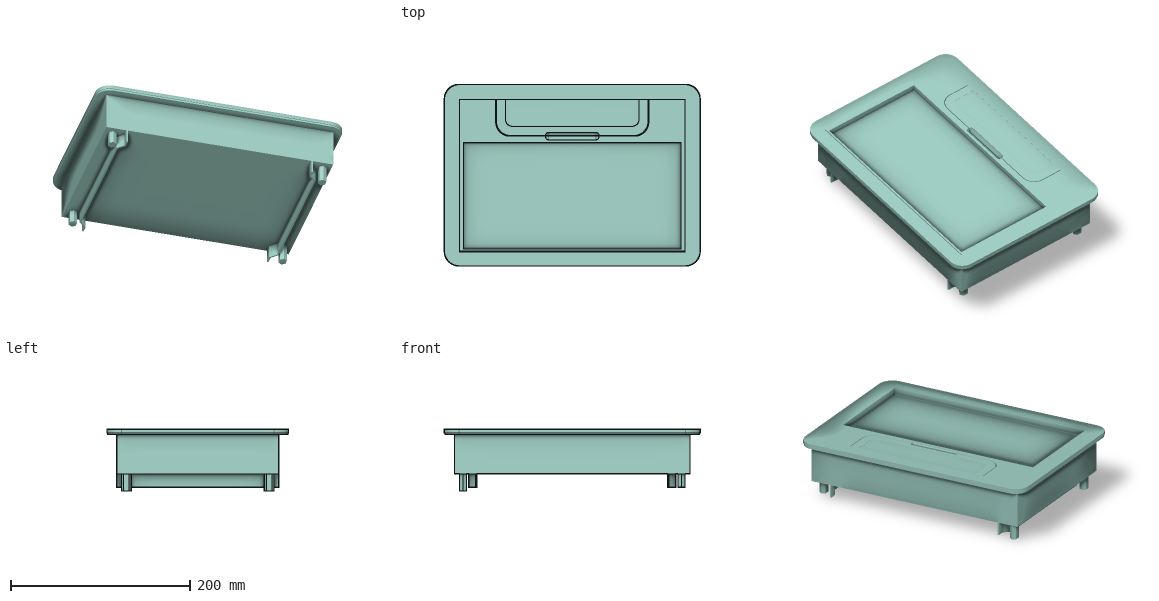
import cadquery as cq
import math

TOP = 0.0
OVERALL_HEIGHT = 69.27

RIM_LENGTH = 285.97
RIM_WIDTH = 202.97
RIM_CORNER_RADIUS = 16.5
RIM_THICKNESS = 6.2
RIM_EDGE_THICKNESS = 4.2
RIM_STEP = 0.7

BOX_LENGTH = 263.5
BOX_WIDTH = 181.0
BOX_BOTTOM = -50.0

TRAY_LENGTH = 251.4
TRAY_BACK = 84.7
TRAY_FRONT = -84.7
TRAY_THICKNESS = 12.0
TRAY_FRONT_GAP = 0.9

WELL_LENGTH = 243.4
WELL_BACK = 36.6
WELL_FRONT = -82.6
WELL_DEPTH = 8.1
WELL_FLOOR_RADIUS = 1.2

FLAP_LENGTH = 169.2
FLAP_FRONT = 44.4
FLAP_CORNER_RADIUS = 15.2
FLAP_THICKNESS = 6.0
FLAP_GAP = 0.9

PANEL_LENGTH = 149.2
PANEL_FRONT = 54.5
PANEL_CORNER_RADIUS = 8.0
PANEL_DEPTH = 0.2

TROUGH_LENGTH = 59.6
TROUGH_RADIUS = 4.05
TROUGH_END_RADIUS = 3.2
TROUGH_Y = 43.6

POST_X = 121.93
POST_Y = 79.7
POST_WIDTH = 7.95
POST_LENGTH = 11.2
POST_FLAT = 6.2
LEFT_POST_BOTTOM = -OVERALL_HEIGHT
RIGHT_POST_BOTTOM = -65.0

RAIL_BOTTOM = -65.0
RAIL_OUTER_X = 115.7
RAIL_END_X = 108.3
RAIL_WALL = 1.8
RAIL_BEND_Y = 82.2


def block(length, front, back, bottom, top):
    """Rectangular block centred on X = 0."""
    return (
        cq.Workplane("XY", origin=(0, (front + back) / 2, bottom))
        .rect(length, back - front)
        .extrude(top - bottom)
    )


def tongue(length, front, corner_radius, bottom, top):
    """Block reaching to the tray's back edge, with its two front corners rounded."""
    return block(length, front, TRAY_BACK, bottom, top).edges("|Z and <Y").fillet(corner_radius)


def rounded_plate(length, width, corner_radius, bottom, top):
    return block(length, -width / 2, width / 2, bottom, top).edges("|Z").fillet(corner_radius)


def make_post(x, y, bottom):
    """Six-sided post: two flats facing X, and a ridge at each Y end."""
    outline = [
        (POST_WIDTH / 2, -POST_FLAT / 2),
        (POST_WIDTH / 2, POST_FLAT / 2),
        (0, POST_LENGTH / 2),
        (-POST_WIDTH / 2, POST_FLAT / 2),
        (-POST_WIDTH / 2, -POST_FLAT / 2),
        (0, -POST_LENGTH / 2),
    ]
    return cq.Workplane("XY", origin=(x, y, bottom)).polyline(outline).close().extrude(BOX_BOTTOM - bottom)


def make_left_rail():
    """Strip of even wall thickness that follows a line with two 45-degree bends."""
    end_y = BOX_WIDTH / 2
    inner_y = RAIL_BEND_Y - (RAIL_OUTER_X - RAIL_END_X)
    shift = RAIL_WALL * math.tan(math.radians(45 / 2))
    outer = [
        (-RAIL_END_X, -end_y),
        (-RAIL_END_X, -RAIL_BEND_Y),
        (-RAIL_OUTER_X, -inner_y),
        (-RAIL_OUTER_X, inner_y),
        (-RAIL_END_X, RAIL_BEND_Y),
        (-RAIL_END_X, end_y),
    ]
    inner = [
        (-RAIL_END_X + RAIL_WALL, end_y),
        (-RAIL_END_X + RAIL_WALL, RAIL_BEND_Y - shift),
        (-RAIL_OUTER_X + RAIL_WALL, inner_y - shift),
        (-RAIL_OUTER_X + RAIL_WALL, -inner_y + shift),
        (-RAIL_END_X + RAIL_WALL, -RAIL_BEND_Y + shift),
        (-RAIL_END_X + RAIL_WALL, -end_y),
    ]
    return (
        cq.Workplane("XY", origin=(0, 0, RAIL_BOTTOM))
        .polyline(outer + inner)
        .close()
        .extrude(BOX_BOTTOM - RAIL_BOTTOM)
    )


def make_trough_cutter():
    """Lying cylinder with rounded ends; its lower half cuts the finger trough."""
    return (
        cq.Workplane("YZ", origin=(-TROUGH_LENGTH / 2, TROUGH_Y, TOP))
        .circle(TROUGH_RADIUS)
        .extrude(TROUGH_LENGTH)
        .edges("%CIRCLE")
        .fillet(TROUGH_END_RADIUS)
    )


def make_housing():
    """Rim, box, posts and rails, with the opening for the tray."""
    rim_edge = rounded_plate(RIM_LENGTH, RIM_WIDTH, RIM_CORNER_RADIUS, TOP - RIM_EDGE_THICKNESS, TOP)
    rim_base = rounded_plate(
        RIM_LENGTH - 2 * RIM_STEP,
        RIM_WIDTH - 2 * RIM_STEP,
        RIM_CORNER_RADIUS - RIM_STEP,
        TOP - RIM_THICKNESS,
        TOP - RIM_EDGE_THICKNESS,
    )
    box = block(BOX_LENGTH, -BOX_WIDTH / 2, BOX_WIDTH / 2, BOX_BOTTOM, TOP - RIM_THICKNESS)
    body = rim_edge.union(rim_base).union(box)

    left_rail = make_left_rail()
    body = body.union(left_rail).union(left_rail.mirror("YZ"))
    for x, bottom in ((-POST_X, LEFT_POST_BOTTOM), (POST_X, RIGHT_POST_BOTTOM)):
        for y in (-POST_Y, POST_Y):
            body = body.union(make_post(x, y, bottom))

    opening = block(TRAY_LENGTH, TRAY_FRONT - TRAY_FRONT_GAP, TRAY_BACK, TOP - TRAY_THICKNESS, TOP)
    return body.cut(opening)


def make_tray():
    """Insert with the well, the flap pocket and its half of the finger trough."""
    body = block(TRAY_LENGTH, TRAY_FRONT, TRAY_BACK, TOP - TRAY_THICKNESS, TOP)
    well = (
        block(WELL_LENGTH, WELL_FRONT, WELL_BACK, TOP - WELL_DEPTH, TOP)
        .edges("|X and <Z")
        .fillet(WELL_FLOOR_RADIUS)
    )
    flap_pocket = tongue(
        FLAP_LENGTH + 2 * FLAP_GAP,
        FLAP_FRONT - FLAP_GAP,
        FLAP_CORNER_RADIUS + FLAP_GAP,
        TOP - FLAP_THICKNESS,
        TOP,
    )
    return body.cut(well).cut(flap_pocket).cut(make_trough_cutter())


def make_flap():
    """Panel with its shallow sunk area and its half of the finger trough."""
    body = tongue(FLAP_LENGTH, FLAP_FRONT, FLAP_CORNER_RADIUS, TOP - FLAP_THICKNESS, TOP)
    panel = tongue(PANEL_LENGTH, PANEL_FRONT, PANEL_CORNER_RADIUS, TOP - PANEL_DEPTH, TOP)
    return body.cut(panel).cut(make_trough_cutter())


housing = make_housing()
tray = make_tray()
flap = make_flap()

result = cq.Compound.makeCompound([housing.val(), tray.val(), flap.val()])